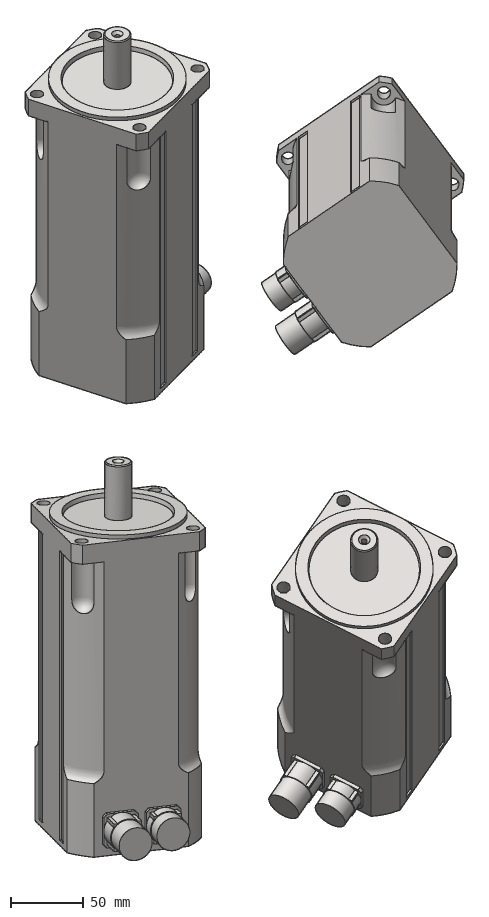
import cadquery as cq
import math

FLANGE_BOTTOM = 216.0
FLANGE_TOP = 230.0
PILOT_TOP = 233.0
SHAFT_TOP = 270.0

HOUSING_WIDTH = 98.0
FLANGE_CORNER_DIA = 130.0
BASE_CORNER_DIA = 120.0
WAIST_CORNER_DIA = 112.0
BASE_TOP = 54.0
WAIST_RUNOUT_RADIUS = 10.0

PILOT_DIA = 95.0
RECESS_MOUTH_DIA = 77.8
RECESS_FLOOR_DIA = 76.1
RECESS_DEPTH = 3.2

SHAFT_DIA = 19.0
SHAFT_CHAMFER = 0.8
CENTER_MOUTH_DIA = 7.8
CENTER_HOLE_DIA = 3.8
CENTER_HOLE_DEPTH = 8.0
CENTER_MOUTH_ANGLE = 90

HOLE_SPACING = 81.3
HOLE_DIA = 9.0
POCKET_DIA = 17.5
POCKET_STRAIGHT_END = 185.0

GROOVE_SPACING = 44.3
GROOVE_WIDTH = 7.5
GROOVE_DEPTH = 1.4
GROOVE_BOTTOM = 4.0

CONNECTOR_SPACING = 31.0
CONNECTOR_HEIGHT = 19.2
CONNECTOR_PLATE_WIDTH = 25.0
CONNECTOR_PLATE_CHAMFER = 2.5
CONNECTOR_PLATE_THICKNESS = 2.7
CONNECTOR_COLLAR_WIDTH = 20.2
CONNECTOR_PLUG_DIA = 24.0
SHORT_CONNECTOR = (11.3, 23.5)
LONG_CONNECTOR = (17.0, 34.0)


def turned_envelope():
    """Round solid that trims the corners of the square housing."""
    base_radius = BASE_CORNER_DIA / 2
    waist_radius = WAIST_CORNER_DIA / 2
    flange_radius = FLANGE_CORNER_DIA / 2
    arc_center_radius = waist_radius + WAIST_RUNOUT_RADIUS
    runout_angle = math.acos((arc_center_radius - base_radius) / WAIST_RUNOUT_RADIUS)
    waist_bottom = BASE_TOP + WAIST_RUNOUT_RADIUS * math.sin(runout_angle)
    arc_middle = (
        arc_center_radius - WAIST_RUNOUT_RADIUS * math.cos(runout_angle / 2),
        waist_bottom - WAIST_RUNOUT_RADIUS * math.sin(runout_angle / 2),
    )
    return (
        cq.Workplane("XZ")
        .lineTo(base_radius, 0)
        .lineTo(base_radius, BASE_TOP)
        .threePointArc(arc_middle, (waist_radius, waist_bottom))
        .lineTo(waist_radius, FLANGE_BOTTOM)
        .lineTo(flange_radius, FLANGE_BOTTOM)
        .lineTo(flange_radius, FLANGE_TOP)
        .lineTo(0, FLANGE_TOP)
        .close()
        .revolve(360, (0, 0, 0), (0, 1, 0))
    )


def pilot():
    """Raised disc on the flange."""
    return (
        cq.Workplane("XY")
        .workplane(offset=FLANGE_TOP)
        .circle(PILOT_DIA / 2)
        .extrude(PILOT_TOP - FLANGE_TOP)
    )


def recess():
    """Slightly tapered recess in the pilot."""
    return (
        cq.Workplane("XY")
        .workplane(offset=PILOT_TOP - RECESS_DEPTH)
        .circle(RECESS_FLOOR_DIA / 2)
        .workplane(offset=RECESS_DEPTH)
        .circle(RECESS_MOUTH_DIA / 2)
        .loft(ruled=True)
    )


def shaft():
    """Output shaft, with a chamfered tip and a countersunk centre hole."""
    shaft_bottom = PILOT_TOP - RECESS_DEPTH
    return (
        cq.Workplane("XY")
        .workplane(offset=shaft_bottom)
        .circle(SHAFT_DIA / 2)
        .extrude(SHAFT_TOP - shaft_bottom)
        .faces(">Z")
        .chamfer(SHAFT_CHAMFER)
        .faces(">Z")
        .workplane()
        .cskHole(CENTER_HOLE_DIA, CENTER_MOUTH_DIA, CENTER_MOUTH_ANGLE, CENTER_HOLE_DEPTH)
    )


def mounting_holes():
    """Four through holes in the flange corners."""
    return (
        cq.Workplane("XY")
        .workplane(offset=FLANGE_BOTTOM)
        .rect(HOLE_SPACING, HOLE_SPACING, forConstruction=True)
        .vertices()
        .circle(HOLE_DIA / 2)
        .extrude(FLANGE_TOP - FLANGE_BOTTOM)
    )


def bolt_pockets():
    """Four ball-ended pockets in the waist corners, under the mounting holes."""
    corners = (
        cq.Workplane("XY")
        .workplane(offset=POCKET_STRAIGHT_END)
        .rect(HOLE_SPACING, HOLE_SPACING, forConstruction=True)
        .vertices()
    )
    straight = corners.circle(POCKET_DIA / 2).extrude(FLANGE_BOTTOM - POCKET_STRAIGHT_END)
    return straight.union(corners.sphere(POCKET_DIA / 2))


def side_grooves():
    """Two long grooves in each X side, closed at the bottom and ending at the flange."""
    return (
        cq.Workplane("XY")
        .workplane(offset=GROOVE_BOTTOM)
        .rect(HOUSING_WIDTH, GROOVE_SPACING, forConstruction=True)
        .vertices()
        .rect(2 * GROOVE_DEPTH, GROOVE_WIDTH)
        .extrude(FLANGE_BOTTOM - GROOVE_BOTTOM)
    )


def make_housing():
    """Motor housing with its flange and shaft."""
    block = cq.Workplane("XY").rect(HOUSING_WIDTH, HOUSING_WIDTH).extrude(FLANGE_TOP)
    return (
        block.intersect(turned_envelope())
        .union(pilot())
        .cut(recess())
        .union(shaft())
        .cut(mounting_holes())
        .cut(bolt_pockets())
        .cut(side_grooves())
    )


def make_connector(center_x, collar_end, plug_end):
    """Connector standing on the +Y side: mounting plate, collar with four corners, round plug."""
    side = cq.Workplane("XZ", origin=(center_x, HOUSING_WIDTH / 2, CONNECTOR_HEIGHT))
    plate = (
        side.rect(CONNECTOR_PLATE_WIDTH, CONNECTOR_PLATE_WIDTH)
        .extrude(-CONNECTOR_PLATE_THICKNESS)
        .edges("|Y")
        .chamfer(CONNECTOR_PLATE_CHAMFER)
    )
    collar_round = side.circle(CONNECTOR_PLATE_WIDTH / 2).extrude(-collar_end)
    collar_corners = side.rect(CONNECTOR_COLLAR_WIDTH, CONNECTOR_COLLAR_WIDTH).extrude(-collar_end)
    plug = side.circle(CONNECTOR_PLUG_DIA / 2).extrude(-plug_end)
    return plate.union(collar_round).union(collar_corners).union(plug)


housing = make_housing()
connectors = [
    make_connector(side * CONNECTOR_SPACING / 2, collar_end, plug_end)
    for side, (collar_end, plug_end) in [(-1, SHORT_CONNECTOR), (1, LONG_CONNECTOR)]
]

result = cq.Compound.makeCompound([housing.val(), *[connector.val() for connector in connectors]])